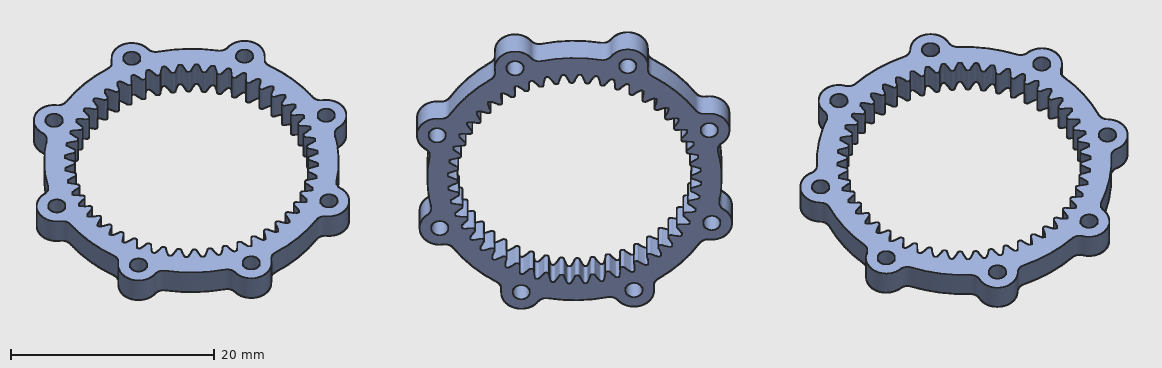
import cadquery as cq
import math

THICKNESS = 3.0
RING_RADIUS = 14.5

LUG_COUNT = 8
LUG_CIRCLE_RADIUS = 14.5
LUG_RADIUS = 2.0
LUG_HOLE_DIAMETER = 1.7
LUG_BLEND_RADIUS = 1.0

MODULE = 0.5
TOOTH_COUNT = 48
PRESSURE_ANGLE = math.radians(25)
TIP_HEIGHT = 1.0 * MODULE
ROOT_DEPTH = 1.0 * MODULE
FLANK_TIP_HEIGHT = 0.5 * MODULE
FLANK_ROOT_DEPTH = 0.7 * MODULE
FLANK_POINTS = 5

PITCH_RADIUS = MODULE * TOOTH_COUNT / 2
BASE_RADIUS = PITCH_RADIUS * math.cos(PRESSURE_ANGLE)
TIP_RADIUS = PITCH_RADIUS - TIP_HEIGHT
ROOT_RADIUS = PITCH_RADIUS + ROOT_DEPTH
TOOTH_PITCH_ANGLE = 2 * math.pi / TOOTH_COUNT


def polar(radius, angle):
    return (radius * math.cos(angle), radius * math.sin(angle))


def involute(pressure_angle):
    return math.tan(pressure_angle) - pressure_angle


def gap_half_angle(radius):
    """Half the angle between two facing involute flanks at the given radius."""
    local_pressure_angle = math.acos(BASE_RADIUS / radius)
    return TOOTH_PITCH_ANGLE / 4 + involute(PRESSURE_ANGLE) - involute(local_pressure_angle)


def flank(gap_angle, side):
    """Points on one flank of a tooth gap, from tooth tip to root; side is -1 or +1."""
    start_radius = PITCH_RADIUS - FLANK_TIP_HEIGHT
    radius_step = (FLANK_TIP_HEIGHT + FLANK_ROOT_DEPTH) / (FLANK_POINTS - 1)
    radii = [start_radius + i * radius_step for i in range(FLANK_POINTS)]
    return [polar(radius, gap_angle + side * gap_half_angle(radius)) for radius in radii]


def make_gear_opening():
    """The opening inside the internal gear; arcs round off the tooth tips and roots."""
    gap_angles = [(i + 0.5) * TOOTH_PITCH_ANGLE for i in range(TOOTH_COUNT)]
    outline = cq.Workplane("XY").moveTo(*flank(gap_angles[0], -1)[0])
    for gap_angle in gap_angles:
        to_root = flank(gap_angle, -1)
        to_tip = flank(gap_angle, 1)[::-1]
        tip_middle = polar(TIP_RADIUS, gap_angle + TOOTH_PITCH_ANGLE / 2)
        next_flank_start = flank(gap_angle + TOOTH_PITCH_ANGLE, -1)[0]
        outline = outline.spline(to_root[1:], includeCurrent=True)
        outline = outline.threePointArc(polar(ROOT_RADIUS, gap_angle), to_tip[0])
        outline = outline.spline(to_tip[1:], includeCurrent=True)
        outline = outline.threePointArc(tip_middle, next_flank_start)
    return outline.close().extrude(THICKNESS)


def at_lugs():
    """Workplane with one location at the centre of each lug."""
    return cq.Workplane("XY").polarArray(LUG_CIRCLE_RADIUS, 0, 360, LUG_COUNT)


def make_ring_with_lugs():
    """Disc with lugs on its rim, blended into the rim by concave fillets."""
    disc = cq.Workplane("XY").circle(RING_RADIUS).extrude(THICKNESS)
    lugs = at_lugs().circle(LUG_RADIUS).extrude(THICKNESS)
    return disc.union(lugs).edges("|Z").fillet(LUG_BLEND_RADIUS)


def make_lug_holes():
    return at_lugs().circle(LUG_HOLE_DIAMETER / 2).extrude(THICKNESS)


result = make_ring_with_lugs().cut(make_lug_holes()).cut(make_gear_opening())